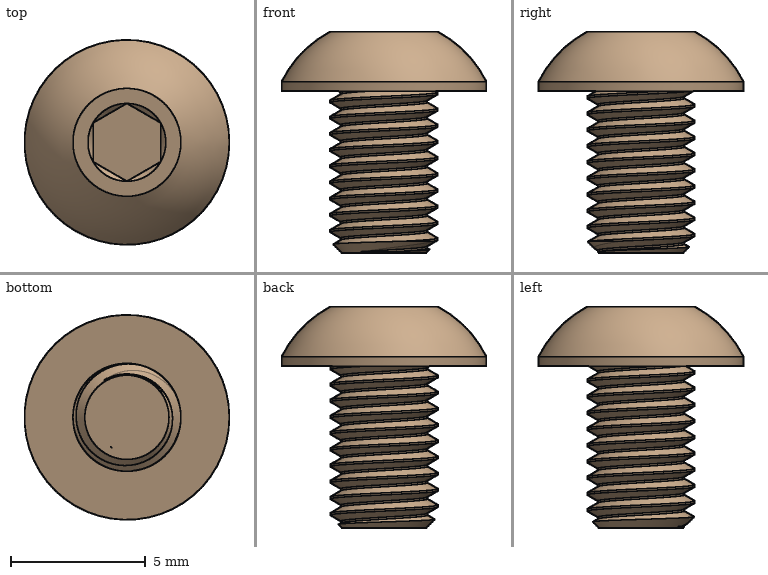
import cadquery as cq
import math


head_diameter = 7.6
head_height = 2.2
rim_height = 0.35
top_flat_diameter = 4.0

socket_across_flats = 2.5
socket_depth = 1.54
socket_corner_diameter = socket_across_flats / math.cos(math.radians(30))

thread_diameter = 4.0
shank_length = 6.0
thread_pitch = 0.6
tip_diameter = 3.12
crest_on_x_axis = -0.085

flank_angle = math.radians(30)
crest_width = thread_pitch / 8
root_width = thread_pitch / 8
thread_radius = thread_diameter / 2
thread_depth = (thread_pitch - crest_width - root_width) / 2 / math.tan(flank_angle)
root_radius = thread_radius - thread_depth

runout_turns = 2
runout = (runout_turns + 1) * thread_pitch
ridge_embedding = 0.02
envelope_clearance = 0.5


def make_head():
    """Flat rim below a spherical dome that is centred on the axis and cut off flat."""
    rim_radius = head_diameter / 2
    flat_radius = top_flat_diameter / 2
    dome_height = head_height - rim_height
    dome_center = (head_height + rim_height) / 2 - (rim_radius**2 - flat_radius**2) / (2 * dome_height)
    dome_radius = math.hypot(flat_radius, head_height - dome_center)
    mid_radius = (rim_radius + flat_radius) / 2
    mid_height = dome_center + math.sqrt(dome_radius**2 - mid_radius**2)
    return (
        cq.Workplane("XZ")
        .lineTo(rim_radius, 0)
        .lineTo(rim_radius, rim_height)
        .threePointArc((mid_radius, mid_height), (flat_radius, head_height))
        .lineTo(0, head_height)
        .close()
        .revolve(360, (0, 0), (0, 1))
    )


def make_socket():
    """Hexagon with corners on the Y axis and a 45 degree countersink through its corners."""
    hexagon = (
        cq.Workplane("XY", origin=(0, 0, head_height))
        .transformed(rotate=(0, 0, 90))
        .polygon(6, socket_corner_diameter)
        .extrude(-socket_depth)
    )
    corner_radius = socket_corner_diameter / 2
    top_center = cq.Vector(0, 0, head_height)
    downward = cq.Vector(0, 0, -1)
    cone_depth = corner_radius
    countersink = cq.Solid.makeCone(corner_radius, 0, cone_depth, top_center, downward)
    return hexagon.union(cq.Workplane(countersink))


def make_core():
    """Cylinder at root diameter that runs past both ends of the shank."""
    core_length = shank_length + 2 * runout
    return cq.Workplane("XY", origin=(0, 0, runout)).circle(root_radius).extrude(-core_length)


def make_thread_ridge():
    """Right-hand helical ridge, sunk a little into the core, that runs past both ends of the shank."""
    shank_turns = math.ceil(shank_length / thread_pitch)
    turns = shank_turns + 2 * runout_turns
    start_height = crest_on_x_axis - (shank_turns + runout_turns) * thread_pitch
    base_radius = root_radius - ridge_embedding
    half_crest = crest_width / 2
    half_base = half_crest + (thread_radius - base_radius) * math.tan(flank_angle)
    start_point = cq.Vector(0, 0, start_height)
    helix = cq.Wire.makeHelix(thread_pitch, turns * thread_pitch, thread_radius, start_point)
    return (
        cq.Workplane("XZ")
        .moveTo(base_radius, start_height - half_base)
        .lineTo(thread_radius, start_height - half_crest)
        .lineTo(thread_radius, start_height + half_crest)
        .lineTo(base_radius, start_height + half_base)
        .close()
        .sweep(cq.Workplane(helix), isFrenet=True)
    )


def make_shank_envelope():
    """Space the shank may fill: clear of the crests, with a 45 degree cone at the tip."""
    tip_radius = tip_diameter / 2
    envelope_radius = thread_radius + envelope_clearance
    cone_top = -shank_length + envelope_radius - tip_radius
    return (
        cq.Workplane("XZ")
        .lineTo(envelope_radius, 0)
        .lineTo(envelope_radius, cone_top)
        .lineTo(tip_radius, -shank_length)
        .lineTo(0, -shank_length)
        .close()
        .revolve(360, (0, 0), (0, 1))
    )


threaded_shank = make_core().union(make_thread_ridge()).intersect(make_shank_envelope())
result = make_head().cut(make_socket()).union(threaded_shank)